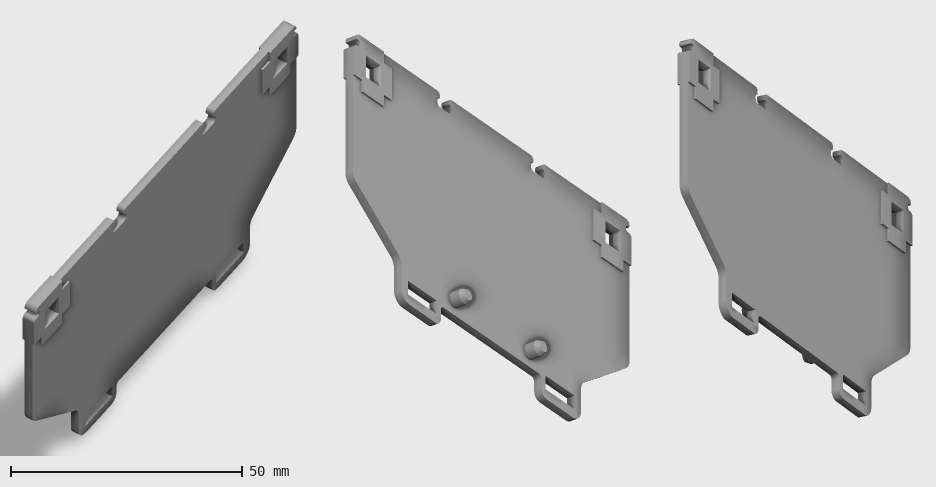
import cadquery as cq
import math

PLATE_THICKNESS = 2.0
HALF_WIDTH = 50.9
HEIGHT = 58.45
CENTRE_EDGE_Z = -53.3
SHOULDER_Z = -36.0
SHOULDER_SLOPE_DEG = 35.0
SHOULDER_RADIUS = 3.0

FOOT_OUTER_Y = 33.05
FOOT_INNER_Y = 18.5
FOOT_OUTER_RADIUS = 3.0
FOOT_INNER_RADIUS = 2.0
FOOT_ROOT_RADIUS = 1.0
STRAP_SLOT_CENTRE = (25.3, -54.4)
STRAP_SLOT_SIZE = (10.6, 3.4)

NOTCH_Y = 17.2
NOTCH_NECK_HALF_WIDTH = 1.7
NOTCH_POCKET_HALF_WIDTH = 2.6
NOTCH_DEPTH = 3.7
NOTCH_MOUTH_RADIUS = 0.9
NOTCH_POCKET_RADIUS = 0.9

HOOK_UNDERSIDE_Z = -1.5
HOOK_SETBACK = 0.7
HOOK_CROWN_RUN = 1.25
HOOK_CROWN_DROP = 1.15
HOOK_SLOT_HEIGHT = 1.6
HOOK_SLOT_DEPTH = 2.0
HOOK_SLOT_RADIUS = 0.6
LEDGE_RADIUS = 0.9

PAD_RAISE = 0.5
PAD_CENTRE_INSET = 6.85
PAD_ARM_HALF_WIDTH = 3.95
WINDOW_DROP = 6.75
WINDOW_SIZE = 5.5
WINDOW_THROAT_SIZE = 4.4
WINDOW_TAPER_DEPTH = 1.4

PIN_Y = 13.8
PIN_Z = -49.7
PIN_DIAMETER = 3.7
PIN_TIP_DIAMETER = 2.5
PIN_LENGTH = 4.0
PIN_TIP_LENGTH = 1.2

SIDES = (1, -1)
PAD_THICKNESS = PLATE_THICKNESS + 2 * PAD_RAISE
PAD_FACE_X = -PAD_THICKNESS / 2
WINDOW_Y = HALF_WIDTH - PAD_CENTRE_INSET
WINDOW_Z = -WINDOW_DROP


def yz_plane(x):
    """Sketch plane with local axes along +Y and +Z, extruding toward +X."""
    return cq.Workplane("YZ", origin=(x, 0, 0))


def box(y_min, y_max, z_min, z_max, thickness):
    """Block spanning the given Y and Z limits, centred on the plate mid-plane."""
    centre_y = (y_min + y_max) / 2
    centre_z = (z_min + z_max) / 2
    sketch = yz_plane(-thickness / 2).center(centre_y, centre_z)
    return sketch.rect(y_max - y_min, z_max - z_min).extrude(thickness)


def round_edges(body, points, radius):
    """Fillet the X-parallel edges of the body that pass through the (y, z) points."""
    for y, z in points:
        nearest = cq.selectors.NearestToPointSelector((0, y, z))
        body = body.edges("|X").edges(nearest).fillet(radius)
    return body


def mirrored(y, z):
    return [(side * y, z) for side in SIDES]


def make_plate():
    shoulder_drop = (HALF_WIDTH - FOOT_OUTER_Y) * math.tan(math.radians(SHOULDER_SLOPE_DEG))
    foot_top_z = SHOULDER_Z - shoulder_drop
    right_half = [
        (HALF_WIDTH, 0),
        (HALF_WIDTH, SHOULDER_Z),
        (FOOT_OUTER_Y, foot_top_z),
        (FOOT_OUTER_Y, -HEIGHT),
        (FOOT_INNER_Y, -HEIGHT),
        (FOOT_INNER_Y, CENTRE_EDGE_Z),
    ]
    left_half = [(-y, z) for y, z in reversed(right_half)]
    plate = yz_plane(-PLATE_THICKNESS / 2).polyline(right_half + left_half).close().extrude(PLATE_THICKNESS)
    plate = round_edges(plate, mirrored(HALF_WIDTH, SHOULDER_Z), SHOULDER_RADIUS)
    plate = round_edges(plate, mirrored(FOOT_OUTER_Y, foot_top_z), SHOULDER_RADIUS)
    plate = round_edges(plate, mirrored(FOOT_OUTER_Y, -HEIGHT), FOOT_OUTER_RADIUS)
    plate = round_edges(plate, mirrored(FOOT_INNER_Y, -HEIGHT), FOOT_INNER_RADIUS)
    return round_edges(plate, mirrored(FOOT_INNER_Y, CENTRE_EDGE_Z), FOOT_ROOT_RADIUS)


def make_pad():
    """Pad at the +Y corner: a cross whose outer upper quadrant is filled to the corner."""
    arm_end = 2 * PAD_CENTRE_INSET
    arm_near = PAD_CENTRE_INSET - PAD_ARM_HALF_WIDTH
    arm_far = PAD_CENTRE_INSET + PAD_ARM_HALF_WIDTH
    corner_block = box(HALF_WIDTH - arm_far, HALF_WIDTH, -arm_far, 0, PAD_THICKNESS)
    inner_arm = box(HALF_WIDTH - arm_end, HALF_WIDTH - arm_far, -arm_far, -arm_near, PAD_THICKNESS)
    lower_arm = box(HALF_WIDTH - arm_far, HALF_WIDTH - arm_near, -arm_end, -arm_far, PAD_THICKNESS)
    return corner_block.union(inner_arm).union(lower_arm)


def make_hook_cutter():
    """Material removed at the +Y upper corner to leave the rounded hook and ledge."""
    hook_y = HALF_WIDTH - HOOK_SETBACK
    ledge_z = HOOK_UNDERSIDE_Z - HOOK_SLOT_HEIGHT
    slot_end_y = HALF_WIDTH - HOOK_SLOT_DEPTH
    slot_arc_y = slot_end_y + HOOK_SLOT_RADIUS
    crown_radius = (HOOK_CROWN_RUN**2 + HOOK_CROWN_DROP**2) / (2 * HOOK_CROWN_DROP)
    outline = (
        yz_plane(PAD_FACE_X)
        .moveTo(hook_y - HOOK_CROWN_RUN, 0)
        .radiusArc((hook_y, -HOOK_CROWN_DROP), crown_radius)
        .lineTo(hook_y, HOOK_UNDERSIDE_Z)
        .lineTo(slot_arc_y, HOOK_UNDERSIDE_Z)
        .radiusArc((slot_end_y, HOOK_UNDERSIDE_Z - HOOK_SLOT_RADIUS), -HOOK_SLOT_RADIUS)
        .lineTo(slot_end_y, ledge_z + HOOK_SLOT_RADIUS)
        .radiusArc((slot_arc_y, ledge_z), -HOOK_SLOT_RADIUS)
        .lineTo(HALF_WIDTH - LEDGE_RADIUS, ledge_z)
        .radiusArc((HALF_WIDTH, ledge_z - LEDGE_RADIUS), LEDGE_RADIUS)
        .lineTo(HALF_WIDTH, 0)
        .close()
    )
    return outline.extrude(PAD_THICKNESS)


def make_window_cutter():
    """Square opening tapering in from each pad face to a straight throat."""
    opening = box(
        WINDOW_Y - WINDOW_THROAT_SIZE / 2,
        WINDOW_Y + WINDOW_THROAT_SIZE / 2,
        WINDOW_Z - WINDOW_THROAT_SIZE / 2,
        WINDOW_Z + WINDOW_THROAT_SIZE / 2,
        PAD_THICKNESS,
    )
    funnel = (
        yz_plane(PAD_FACE_X)
        .center(WINDOW_Y, WINDOW_Z)
        .rect(WINDOW_SIZE, WINDOW_SIZE)
        .workplane(offset=WINDOW_TAPER_DEPTH)
        .rect(WINDOW_THROAT_SIZE, WINDOW_THROAT_SIZE)
        .loft(ruled=True)
    )
    return opening.union(funnel).union(funnel.mirror("YZ"))


def make_notch_cutter():
    """T-shaped notch at +Y, with a rounded mouth and a rounded pocket."""
    neck = box(
        NOTCH_Y - NOTCH_NECK_HALF_WIDTH,
        NOTCH_Y + NOTCH_NECK_HALF_WIDTH,
        HOOK_UNDERSIDE_Z,
        0,
        PLATE_THICKNESS,
    )
    pocket = box(
        NOTCH_Y - NOTCH_POCKET_HALF_WIDTH,
        NOTCH_Y + NOTCH_POCKET_HALF_WIDTH,
        -NOTCH_DEPTH,
        HOOK_UNDERSIDE_Z,
        PLATE_THICKNESS,
    ).edges("|X").fillet(NOTCH_POCKET_RADIUS)
    return neck.union(pocket)


def cut_notches(plate):
    notch = make_notch_cutter()
    plate = plate.cut(notch).cut(notch.mirror("XZ"))
    for offset in (-NOTCH_NECK_HALF_WIDTH, NOTCH_NECK_HALF_WIDTH):
        plate = round_edges(plate, mirrored(NOTCH_Y + offset, 0), NOTCH_MOUTH_RADIUS)
    return plate


def cut_strap_slots(plate):
    slots = (
        yz_plane(-PLATE_THICKNESS / 2)
        .pushPoints(mirrored(*STRAP_SLOT_CENTRE))
        .rect(*STRAP_SLOT_SIZE)
        .extrude(PLATE_THICKNESS)
    )
    return plate.cut(slots)


def make_pin(y):
    """Pin with a conical tip, revolved about its X-parallel axis."""
    root_x = -PLATE_THICKNESS / 2
    tip_x = root_x - PIN_LENGTH
    profile = [
        (root_x, 0),
        (root_x, PIN_DIAMETER / 2),
        (tip_x + PIN_TIP_LENGTH, PIN_DIAMETER / 2),
        (tip_x, PIN_TIP_DIAMETER / 2),
        (tip_x, 0),
    ]
    pin = cq.Workplane("XY").polyline(profile).close().revolve(360, (0, 0, 0), (1, 0, 0))
    return pin.translate((0, y, PIN_Z))


def build():
    body = cut_strap_slots(cut_notches(make_plate()))
    pad = make_pad()
    body = body.union(pad).union(pad.mirror("XZ"))
    for cutter in (make_hook_cutter(), make_window_cutter()):
        body = body.cut(cutter).cut(cutter.mirror("XZ"))
    for side in SIDES:
        body = body.union(make_pin(side * PIN_Y))
    return body


result = build()